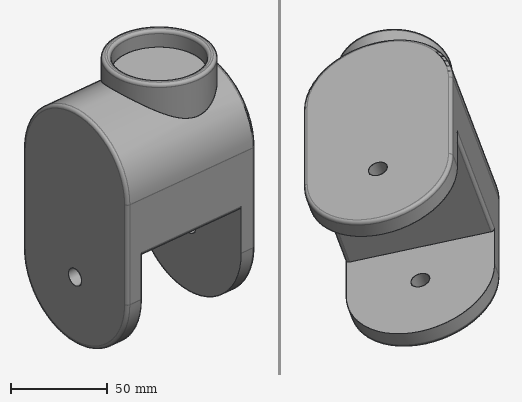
import cadquery as cq

total_height = 150.0
depth = 90.0
width = 80.0
end_radius = width / 2
socket_rise = 10.0
body_height = total_height - socket_rise
edge_round = 2.0

wall = 10.0
fork_height = 66.0
hole_diameter = 10.0

socket_diameter = 60.0
socket_offset = 14.0
bore_diameter = 50.0
bore_depth = 10.0


def make_body():
    """Stadium block with rounded front and back rims."""
    return (
        cq.Workplane("XZ", origin=(0, 0, body_height / 2))
        .slot2D(body_height, width, 90)
        .extrude(depth / 2, both=True)
        .faces("<Y or >Y")
        .edges()
        .fillet(edge_round)
    )


def cut_fork(body):
    """Open the lower part between two side walls and round its long top edges."""
    gap = cq.Workplane("XY").box(
        2 * width, depth - 2 * wall, fork_height, centered=(True, True, False)
    )
    crotch_edges = cq.selectors.BoxSelector(
        (-width, -depth / 2 + wall / 2, fork_height - edge_round / 2),
        (width, depth / 2 - wall / 2, fork_height + edge_round / 2),
    )
    return body.cut(gap).edges("|Y").edges(crotch_edges).fillet(edge_round)


def add_socket(body):
    """Round boss rising from the body, with a blind bore."""
    base_height = body_height - end_radius
    boss = (
        cq.Workplane("XY", origin=(0, socket_offset, base_height))
        .circle(socket_diameter / 2)
        .extrude(total_height - base_height)
        .faces(">Z")
        .edges()
        .fillet(edge_round)
    )
    bore = (
        cq.Workplane("XY", origin=(0, socket_offset, total_height - bore_depth))
        .circle(bore_diameter / 2)
        .extrude(bore_depth)
    )
    socketed = body.union(boss).cut(bore)
    bore_mouth = cq.selectors.RadiusNthSelector(0)
    return socketed.faces(">Z").edges(bore_mouth).fillet(edge_round)


def cut_pivot_hole(body):
    """Hole through both fork walls, centred on their rounded ends."""
    hole = (
        cq.Workplane("XZ", origin=(0, 0, end_radius))
        .circle(hole_diameter / 2)
        .extrude(depth, both=True)
    )
    return body.cut(hole)


result = cut_pivot_hole(add_socket(cut_fork(make_body())))